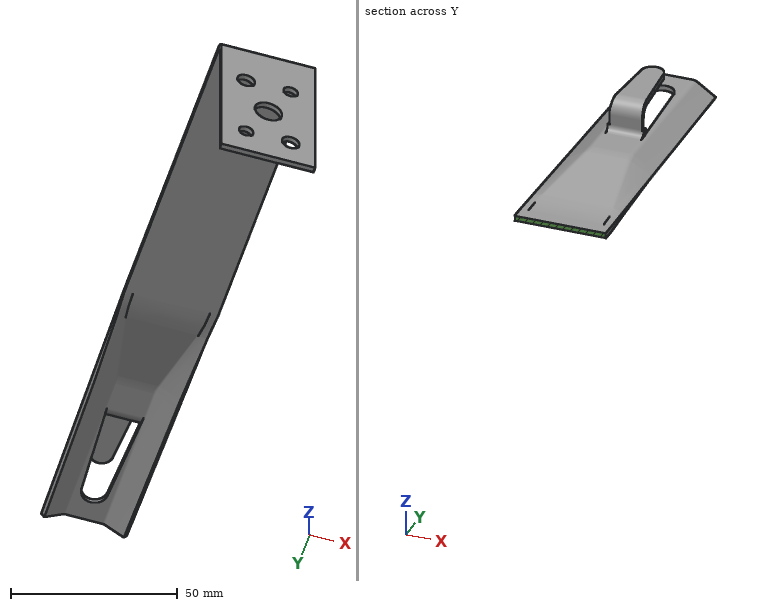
import math

import cadquery as cq


thickness = 1.8
arm_width = 29.5
total_length = 183.29
flange_drop = 53.83
arm_bend_radius = 3.8

hole_pitch_x = 14.0
hole_pitch_z = 26.0
hole_center_height = 22.75
large_hole_diameter = 5.5
small_hole_diameter = 4.5
center_hole_diameter = 8.5

flat_arm_end = 96.5
channel_height = 4.5
ramp_angle = math.radians(8.5)
lower_bend_radius = 63.0
upper_bend_radius = 22.0
lower_bend_spans = 8
upper_bend_spans = 2

fold_radius = 3.0
crown_half_width = 5.9
flat_fold_half_width = 12.1
flat_fold_strip = 0.1
end_half_width = 13.5

slot_start = 142.3
slot_root_half_width = 5.8
slot_tip_half_width = 4.1
slot_tip = 176.7

hook_height = 10.2
hook_foot_radius = 2.0
hook_bend_radius = 4.7
hook_root_half_width = 5.25
hook_tip_radius = 3.6
hook_tip = 169.2

diagonal = math.sqrt(0.5)

lower_bend_end = flat_arm_end + lower_bend_radius * math.sin(ramp_angle)
bend_rise = (lower_bend_radius + upper_bend_radius) * (1 - math.cos(ramp_angle))
ramp_end = lower_bend_end + (channel_height - bend_rise) / math.tan(ramp_angle)
channel_start = ramp_end + upper_bend_radius * math.sin(ramp_angle)
hook_leg_front = slot_start + hook_foot_radius


def crown_height(y):
    """Height of the crown above the flat arm at station y."""
    if y >= channel_start:
        return channel_height
    if y >= ramp_end:
        run = channel_start - y
        return channel_height - upper_bend_radius + math.sqrt(upper_bend_radius**2 - run**2)
    if y >= lower_bend_end:
        return crown_height(ramp_end) - (ramp_end - y) * math.tan(ramp_angle)
    run = y - flat_arm_end
    return lower_bend_radius - math.sqrt(lower_bend_radius**2 - run**2)


def edge_half_width(y):
    """Half width of the sheet, tapering evenly from the flat arm to the far end."""
    fraction = (y - flat_arm_end) / (total_length - flat_arm_end)
    return arm_width / 2 + fraction * (end_half_width - arm_width / 2)


def hat_section(y):
    """Closed hat-shaped wire of the sheet at station y."""
    height = crown_height(y)
    edge = edge_half_width(y)
    fold_shift = (flat_fold_half_width - crown_half_width) * height / channel_height
    fold = flat_fold_half_width - fold_shift

    center_z = height - fold_radius
    reach = math.hypot(edge - fold, center_z)
    slope = math.atan2(edge - fold, -center_z) - math.acos(min(1.0, fold_radius / reach))
    is_flat = y <= flat_arm_end
    tilt = 0 if is_flat else slope
    inner_radius = fold_radius - thickness

    def fold_point(side, radius, angle):
        return cq.Vector(side * (fold + radius * math.sin(angle)), y, center_z + radius * math.cos(angle))

    def fold_end(side, radius):
        if is_flat:
            return cq.Vector(side * (fold + flat_fold_strip), y, center_z + radius)
        return fold_point(side, radius, slope)

    def fold_edge(side, radius):
        start = fold_point(side, radius, 0)
        end = fold_end(side, radius)
        if is_flat:
            return cq.Edge.makeLine(start, end)
        return cq.Edge.makeThreePointArc(start, fold_point(side, radius, slope / 2), end)

    def rim(side, depth):
        return cq.Vector(side * (edge - depth * math.sin(tilt)), y, -depth * math.cos(tilt))

    edges = []
    for radius in (fold_radius, inner_radius):
        edges.append(cq.Edge.makeLine(fold_point(-1, radius, 0), fold_point(1, radius, 0)))
        for side in (-1, 1):
            edges.append(fold_edge(side, radius))
            edges.append(cq.Edge.makeLine(fold_end(side, radius), rim(side, fold_radius - radius)))
    for side in (-1, 1):
        edges.append(cq.Edge.makeLine(rim(side, 0), rim(side, thickness)))
    return cq.Wire.assembleEdges(edges)


def hat_loft(start, end, spans=1):
    """Sheet between two stations; more than one span follows a bend smoothly."""
    stations = [start + (end - start) * i / spans for i in range(spans + 1)]
    return cq.Workplane(cq.Solid.makeLoft([hat_section(y) for y in stations], spans == 1))


def flat_arm():
    """Flat arm with the bend and the flange hanging from it."""
    inner_radius = arm_bend_radius - thickness
    outer_mid = arm_bend_radius * (1 - diagonal)
    inner_mid = arm_bend_radius - inner_radius * diagonal
    return (
        cq.Workplane("YZ", origin=(-arm_width / 2, 0, 0))
        .moveTo(flat_arm_end, 0)
        .lineTo(arm_bend_radius, 0)
        .threePointArc((outer_mid, -outer_mid), (0, -arm_bend_radius))
        .lineTo(0, -flange_drop)
        .lineTo(thickness, -flange_drop)
        .lineTo(thickness, -arm_bend_radius)
        .threePointArc((inner_mid, -inner_mid), (arm_bend_radius, -thickness))
        .lineTo(flat_arm_end, -thickness)
        .close()
        .extrude(arm_width)
    )


def flange_hole(x, z, diameter):
    """Cylinder through the flange."""
    return cq.Workplane("XZ", origin=(x, 0, z)).circle(diameter / 2).extrude(-thickness)


def flange_holes():
    """Center hole and four corner holes, large and small ones on opposite diagonals."""
    center_z = hole_center_height - flange_drop
    holes = flange_hole(0, center_z, center_hole_diameter)
    for side in (-1, 1):
        for level in (-1, 1):
            diameter = small_hole_diameter if side == level else large_hole_diameter
            x = side * hole_pitch_x / 2
            z = center_z + level * hole_pitch_z / 2
            holes = holes.union(flange_hole(x, z, diameter))
    return holes


def tapered_tongue(start, root_half_width, tip, tip_radius, bottom, height):
    """Upright block with a tapered plan and a round tip."""
    shoulder = tip - tip_radius
    return (
        cq.Workplane("XY", origin=(0, 0, bottom))
        .moveTo(-root_half_width, start)
        .lineTo(-tip_radius, shoulder)
        .threePointArc((0, tip), (tip_radius, shoulder))
        .lineTo(root_half_width, start)
        .close()
        .extrude(height)
    )


def hook_foot():
    """Bend that turns the tongue up out of the channel crown."""
    outer_radius = hook_foot_radius + thickness
    center_z = channel_height + hook_foot_radius
    return (
        cq.Workplane("YZ", origin=(-slot_root_half_width, 0, 0))
        .moveTo(slot_start, channel_height)
        .threePointArc(
            (slot_start + hook_foot_radius * diagonal, center_z - hook_foot_radius * diagonal),
            (hook_leg_front, center_z),
        )
        .lineTo(hook_leg_front + thickness, center_z)
        .threePointArc(
            (slot_start + outer_radius * diagonal, center_z - outer_radius * diagonal),
            (slot_start, channel_height - thickness),
        )
        .close()
        .extrude(2 * slot_root_half_width)
    )


def hook_arm():
    """Upright leg, bend and flat tongue of the hook."""
    leg_bottom = channel_height + hook_foot_radius
    top = channel_height + hook_height
    center_y = hook_leg_front + hook_bend_radius
    center_z = top - hook_bend_radius
    inner_radius = hook_bend_radius - thickness
    strip = (
        cq.Workplane("YZ", origin=(-hook_root_half_width, 0, 0))
        .moveTo(hook_leg_front, leg_bottom)
        .lineTo(hook_leg_front, center_z)
        .threePointArc(
            (center_y - hook_bend_radius * diagonal, center_z + hook_bend_radius * diagonal),
            (center_y, top),
        )
        .lineTo(hook_tip, top)
        .lineTo(hook_tip, top - thickness)
        .lineTo(center_y, top - thickness)
        .threePointArc(
            (center_y - inner_radius * diagonal, center_z + inner_radius * diagonal),
            (hook_leg_front + thickness, center_z),
        )
        .lineTo(hook_leg_front + thickness, leg_bottom)
        .close()
        .extrude(2 * hook_root_half_width)
    )
    plan = tapered_tongue(
        hook_leg_front, hook_root_half_width, hook_tip, hook_tip_radius, leg_bottom, hook_height
    )
    return strip.intersect(plan)


slot = tapered_tongue(
    slot_start, slot_root_half_width, slot_tip, slot_tip_half_width, -thickness, channel_height + 2 * thickness
)

lower_bend = hat_loft(flat_arm_end, lower_bend_end, lower_bend_spans)
ramp = hat_loft(lower_bend_end, ramp_end)
upper_bend = hat_loft(ramp_end, channel_start, upper_bend_spans)
channel = hat_loft(channel_start, total_length).cut(slot)

result = (
    flat_arm()
    .cut(flange_holes())
    .union(lower_bend)
    .union(ramp)
    .union(upper_bend)
    .union(channel)
    .union(hook_foot())
    .union(hook_arm())
)